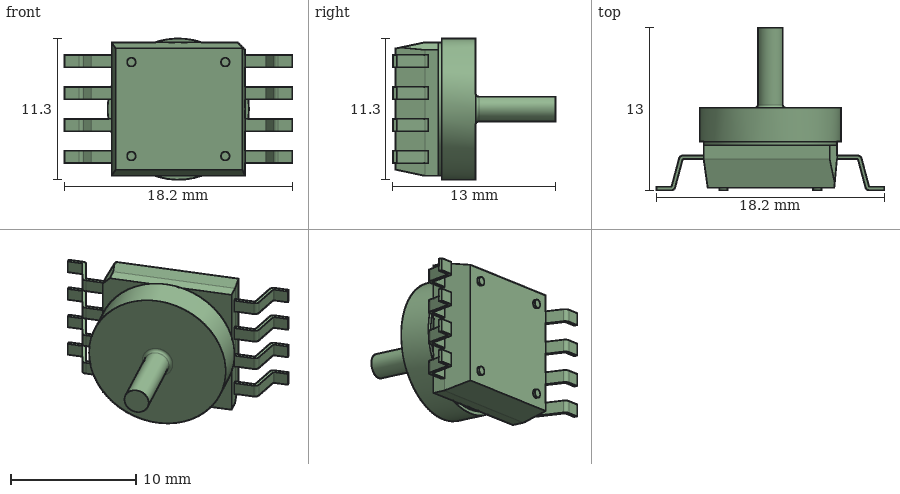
import cadquery as cq
import math


housing_front_y = 0.2
taper_start_y = 2.53
housing_back_y = 3.62
cap_disc_front_y = 3.9
cap_disc_back_y = 6.6
port_end_y = 13.0

housing_side = 10.67
half_side = housing_side / 2
corner_chamfer = 0.6
left_taper = 0.33
right_taper = 0.22
end_taper = 0.5
standoff_radius = 0.35
standoff_spacing = 7.5

lead_span = 18.2
lead_thickness = 0.31
lead_width = 1.0
lead_pitch = 2.55
leads_per_side = 4
lead_shelf_y = 2.5
lead_knee_x = 6.99
lead_embed = 0.36
leg_tilt = math.radians(15)
bend_inner_radius = 0.05
bend_outer_radius = bend_inner_radius + lead_thickness

cap_disc_diameter = 11.3
cap_disc_radius = cap_disc_diameter / 2
cap_neck_radius = half_side
port_radius = 1.0
port_root_fillet = 0.25


def plane_at(y):
    """Workplane parallel to XZ; its normal is -Y, so a negative extrusion runs toward +Y."""
    return cq.Workplane("XZ", origin=(0, y, 0))


def make_housing_block():
    """Square slab with a tapered front and one chamfered corner at +X, +Z."""
    slab = plane_at(taper_start_y).rect(housing_side, housing_side).extrude(taper_start_y - housing_back_y)
    front_width = housing_side - left_taper - right_taper
    front_height = housing_side - 2 * end_taper
    front_shift = (left_taper - right_taper) / 2
    taper = (
        plane_at(taper_start_y)
        .rect(housing_side, housing_side)
        .workplane(offset=taper_start_y - housing_front_y)
        .center(front_shift, 0)
        .rect(front_width, front_height)
        .loft(ruled=True)
    )
    corner = (
        plane_at(0)
        .polyline([
            (half_side, half_side),
            (half_side - corner_chamfer, half_side),
            (half_side, half_side - corner_chamfer),
        ])
        .close()
        .extrude(-housing_back_y)
    )
    return slab.union(taper).cut(corner)


def make_standoffs():
    """Four round standoffs from the housing front to the seating plane."""
    return (
        plane_at(0)
        .rect(standoff_spacing, standoff_spacing, forConstruction=True)
        .vertices()
        .circle(standoff_radius)
        .extrude(-housing_front_y)
    )


def make_lead():
    """Gull-wing lead on the +X side, centred on Z = 0."""
    tip_x = lead_span / 2
    root_x = half_side - lead_embed
    shelf_top_y = lead_shelf_y + lead_thickness
    leg_run = lead_shelf_y * math.tan(leg_tilt)
    bend_step = lead_thickness / math.cos(leg_tilt) - lead_thickness * math.tan(leg_tilt)

    shelf_inner = (lead_knee_x, lead_shelf_y)
    shelf_outer = (lead_knee_x + bend_step, shelf_top_y)
    foot_outer = (lead_knee_x + leg_run, 0)
    foot_inner = (lead_knee_x + leg_run + bend_step, lead_thickness)
    lead = (
        cq.Workplane("XY", origin=(0, 0, -lead_width / 2))
        .polyline([
            (root_x, lead_shelf_y),
            shelf_inner,
            foot_outer,
            (tip_x, 0),
            (tip_x, lead_thickness),
            foot_inner,
            shelf_outer,
            (root_x, shelf_top_y),
        ])
        .close()
        .extrude(lead_width)
    )
    for bends, radius in (
        ((shelf_inner, foot_inner), bend_inner_radius),
        ((shelf_outer, foot_outer), bend_outer_radius),
    ):
        for x, y in bends:
            bend_edge = cq.selectors.NearestToPointSelector((x, y, 0))
            lead = lead.edges(bend_edge).fillet(radius)
    return lead


def make_housing():
    """Housing block with its standoffs and two rows of leads, as one solid."""
    body = make_housing_block().union(make_standoffs())
    right_lead = make_lead()
    left_lead = right_lead.mirror("YZ")
    for index in range(leads_per_side):
        z = (index - (leads_per_side - 1) / 2) * lead_pitch
        body = body.union(right_lead.translate((0, 0, z)))
        body = body.union(left_lead.translate((0, 0, z)))
    return body.solids()


def make_cap():
    """Turned cap: neck on the housing, wide disc, and the port with a filleted root."""
    fillet_middle = port_root_fillet * (1 - math.sqrt(0.5))
    return (
        cq.Workplane("XY")
        .moveTo(0, housing_back_y)
        .lineTo(cap_neck_radius, housing_back_y)
        .lineTo(cap_neck_radius, cap_disc_front_y)
        .lineTo(cap_disc_radius, cap_disc_front_y)
        .lineTo(cap_disc_radius, cap_disc_back_y)
        .lineTo(port_radius + port_root_fillet, cap_disc_back_y)
        .threePointArc(
            (port_radius + fillet_middle, cap_disc_back_y + fillet_middle),
            (port_radius, cap_disc_back_y + port_root_fillet),
        )
        .lineTo(port_radius, port_end_y)
        .lineTo(0, port_end_y)
        .close()
        .revolve(360, (0, 0, 0), (0, 1, 0))
    )


housing = make_housing()
cap = make_cap()

result = cq.Compound.makeCompound([housing.val(), cap.val()])